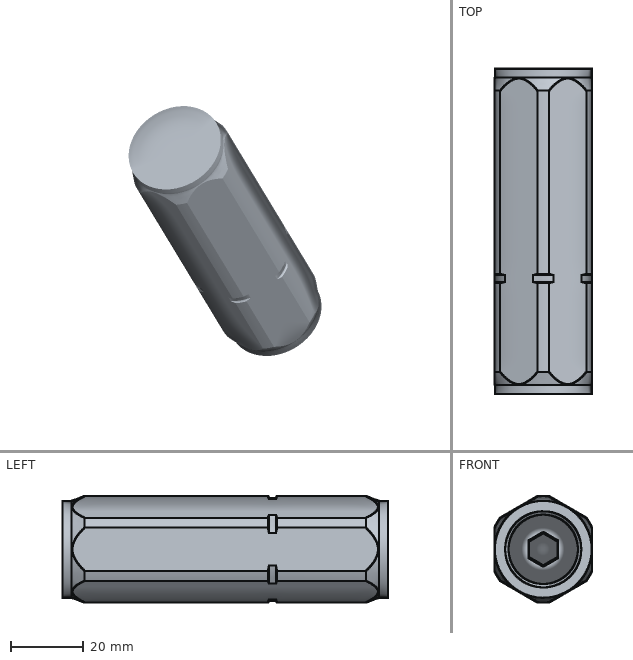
import cadquery as cq
import math

length = 90.0
across_flats = 27.0
corner_diameter = 29.5
collar_diameter = 26.8
collar_length = 2.5
taper_end = 6.1

bore_diameter = 19.2
bore_depth = length / 2
bore_mouth_diameter = 21.1
lead_in_angle = 30.0
socket_across_flats = 7.7
socket_depth = 9.0
socket_chamfer = 0.3

groove_y = -13.05
groove_floor_diameter = 28.4
groove_floor_width = 1.9
groove_mouth_width = 2.5

hexagon_sides = 6
front_y = -length / 2
bore_floor_y = front_y + bore_depth


def hexagonal_prism(flat_to_flat, start_y, prism_length, taper=0):
    """Prism toward +Y with corners up and down, narrowing by the taper angle in degrees."""
    vertex_diameter = flat_to_flat / math.cos(math.pi / hexagon_sides)
    return (
        cq.Workplane("XZ", origin=(0, start_y, 0))
        .transformed(rotate=(0, 0, 90))
        .polygon(hexagon_sides, vertex_diameter)
        .extrude(-prism_length, taper=taper)
    )


def turned_envelope():
    """Revolved blank that rounds the hexagon corners, tapers both ends and leaves the collars."""
    collar_radius = collar_diameter / 2
    corner_radius = corner_diameter / 2
    half_length = length / 2
    return (
        cq.Workplane("XY")
        .moveTo(0, -half_length)
        .lineTo(collar_radius, -half_length)
        .lineTo(collar_radius, -half_length + collar_length)
        .lineTo(corner_radius, -half_length + taper_end)
        .lineTo(corner_radius, half_length - taper_end)
        .lineTo(collar_radius, half_length - collar_length)
        .lineTo(collar_radius, half_length)
        .lineTo(0, half_length)
        .close()
        .revolve(360, (0, 0, 0), (0, 1, 0))
    )


def chamfered_bore():
    """Blind round bore from the front end with a conical lead-in."""
    bore_radius = bore_diameter / 2
    mouth_radius = bore_mouth_diameter / 2
    lead_in = (mouth_radius - bore_radius) / math.tan(math.radians(lead_in_angle))
    return (
        cq.Workplane("XY")
        .moveTo(0, front_y)
        .lineTo(mouth_radius, front_y)
        .lineTo(bore_radius, front_y + lead_in)
        .lineTo(bore_radius, bore_floor_y)
        .lineTo(0, bore_floor_y)
        .close()
        .revolve(360, (0, 0, 0), (0, 1, 0))
    )


def hexagonal_socket():
    """Hexagonal recess in the bore floor with a small 45 degree chamfer around its edge."""
    mouth_across_flats = socket_across_flats + 2 * socket_chamfer
    mouth = hexagonal_prism(mouth_across_flats, bore_floor_y, socket_chamfer, taper=45)
    return hexagonal_prism(socket_across_flats, bore_floor_y, socket_depth).union(mouth)


def corner_groove():
    """Turned ring with sloping walls, shallow enough to cut only the six corners."""
    floor_radius = groove_floor_diameter / 2
    corner_radius = corner_diameter / 2
    half_floor = groove_floor_width / 2
    half_mouth = groove_mouth_width / 2
    return (
        cq.Workplane("XY")
        .moveTo(floor_radius, groove_y - half_floor)
        .lineTo(floor_radius, groove_y + half_floor)
        .lineTo(corner_radius, groove_y + half_mouth)
        .lineTo(corner_radius, groove_y - half_mouth)
        .close()
        .revolve(360, (0, 0, 0), (0, 1, 0))
    )


result = (
    hexagonal_prism(across_flats, front_y, length)
    .intersect(turned_envelope())
    .cut(corner_groove())
    .cut(chamfered_bore())
    .cut(hexagonal_socket())
)